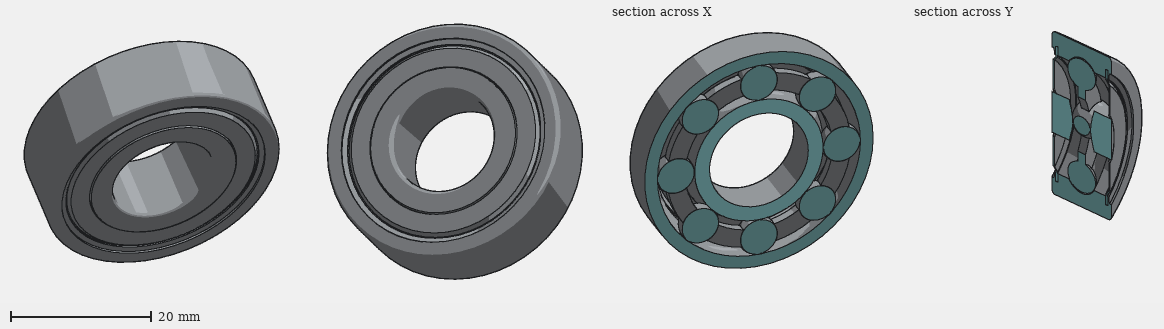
import cadquery as cq

OUTER_DIAMETER = 35.0
WIDTH = 11.0
BORE_DIAMETER = 15.0
EDGE_RADIUS = 0.6

INNER_SHOULDER_DIAMETER = 21.7
OUTER_SHOULDER_DIAMETER = 28.95

MOUTH_DIAMETER = 30.5
MOUTH_STEP_DEPTH = 0.35
MOUTH_TAPER_DEPTH = 0.15

SEAT_DIAMETER = 31.1
SEAT_DEPTH = 0.75
SHIELD_THICKNESS = 0.35
SHIELD_BORE_DIAMETER = 22.05
SHIELD_FACE_DIAMETER = 27.6
SHIELD_STEP_DIAMETER = 28.6
SHIELD_RECESS = 0.2

BALL_COUNT = 8
BALL_DIAMETER = 5.8
CAGE_BORE_DIAMETER = 22.55
CAGE_WIDTH = 1.4

HALF_WIDTH = WIDTH / 2
PITCH_DIAMETER = (INNER_SHOULDER_DIAMETER + OUTER_SHOULDER_DIAMETER) / 2
CAGE_OUTER_DIAMETER = 2 * PITCH_DIAMETER - CAGE_BORE_DIAMETER


def revolve_about_x(points):
    """Solid of revolution about X from (axial position, radius) points."""
    return cq.Workplane("XY").polyline(points).close().revolve(360, (0, 0, 0), (1, 0, 0))


def ring_tube(outer_diameter, inner_diameter, width):
    """Plain ring centred on the middle of the bearing."""
    return (
        cq.Workplane("YZ", origin=(-width / 2, 0, 0))
        .circle(outer_diameter / 2)
        .circle(inner_diameter / 2)
        .extrude(width)
    )


def both_ends(body):
    """The -X end body followed by its mirror image at the +X end."""
    return [body, body.mirror("YZ")]


def make_raceway_cutter():
    """Torus swept by the balls, which cuts the raceway groove in each ring."""
    return cq.Workplane(
        cq.Solid.makeTorus(PITCH_DIAMETER / 2, BALL_DIAMETER / 2, cq.Vector(0, 0, 0), cq.Vector(1, 0, 0))
    )


def make_inner_ring():
    ring = ring_tube(INNER_SHOULDER_DIAMETER, BORE_DIAMETER, WIDTH)
    ring = ring.edges(cq.selectors.RadiusNthSelector(0)).fillet(EDGE_RADIUS)
    return ring.cut(make_raceway_cutter())


def make_mouth_cutter():
    """Short step at the end face that tapers in to the shoulder."""
    step_x = -HALF_WIDTH + MOUTH_STEP_DEPTH
    taper_x = step_x + MOUTH_TAPER_DEPTH
    return revolve_about_x([
        (-HALF_WIDTH, 0),
        (-HALF_WIDTH, MOUTH_DIAMETER / 2),
        (step_x, MOUTH_DIAMETER / 2),
        (taper_x, OUTER_SHOULDER_DIAMETER / 2),
        (taper_x, 0),
    ])


def make_seat_cutter():
    """Disc that cuts the groove for one shield flange."""
    return (
        cq.Workplane("YZ", origin=(-HALF_WIDTH + SEAT_DEPTH, 0, 0))
        .circle(SEAT_DIAMETER / 2)
        .extrude(SHIELD_THICKNESS)
    )


def make_outer_ring():
    ring = ring_tube(OUTER_DIAMETER, OUTER_SHOULDER_DIAMETER, WIDTH)
    ring = ring.edges(cq.selectors.RadiusNthSelector(-1)).fillet(EDGE_RADIUS)
    for cutter in both_ends(make_mouth_cutter()) + both_ends(make_seat_cutter()):
        ring = ring.cut(cutter)
    return ring.cut(make_raceway_cutter())


def make_shield():
    """Dished shield at the -X end: flat face, conical step and seated flange."""
    face_x = -HALF_WIDTH + SHIELD_RECESS
    flange_x = -HALF_WIDTH + SEAT_DEPTH
    return revolve_about_x([
        (face_x, SHIELD_BORE_DIAMETER / 2),
        (face_x, SHIELD_FACE_DIAMETER / 2),
        (flange_x, SHIELD_STEP_DIAMETER / 2),
        (flange_x, SEAT_DIAMETER / 2),
        (flange_x + SHIELD_THICKNESS, SEAT_DIAMETER / 2),
        (flange_x + SHIELD_THICKNESS, SHIELD_STEP_DIAMETER / 2),
        (face_x + SHIELD_THICKNESS, SHIELD_FACE_DIAMETER / 2),
        (face_x + SHIELD_THICKNESS, SHIELD_BORE_DIAMETER / 2),
    ])


def make_ball_set():
    """Cage ring with the balls evenly spaced round it, the first one on +Y."""
    ball_set = ring_tube(CAGE_OUTER_DIAMETER, CAGE_BORE_DIAMETER, CAGE_WIDTH)
    ball = cq.Workplane("XY").sphere(BALL_DIAMETER / 2).translate((0, PITCH_DIAMETER / 2, 0))
    for index in range(BALL_COUNT):
        angle = index * 360 / BALL_COUNT
        ball_set = ball_set.union(ball.rotate((0, 0, 0), (1, 0, 0), angle))
    return ball_set


inner_ring = make_inner_ring()
outer_ring = make_outer_ring()
shields = both_ends(make_shield())
ball_set = make_ball_set()

result = cq.Compound.makeCompound([
    inner_ring.val(),
    outer_ring.val(),
    *[shield.val() for shield in shields],
    ball_set.val(),
])